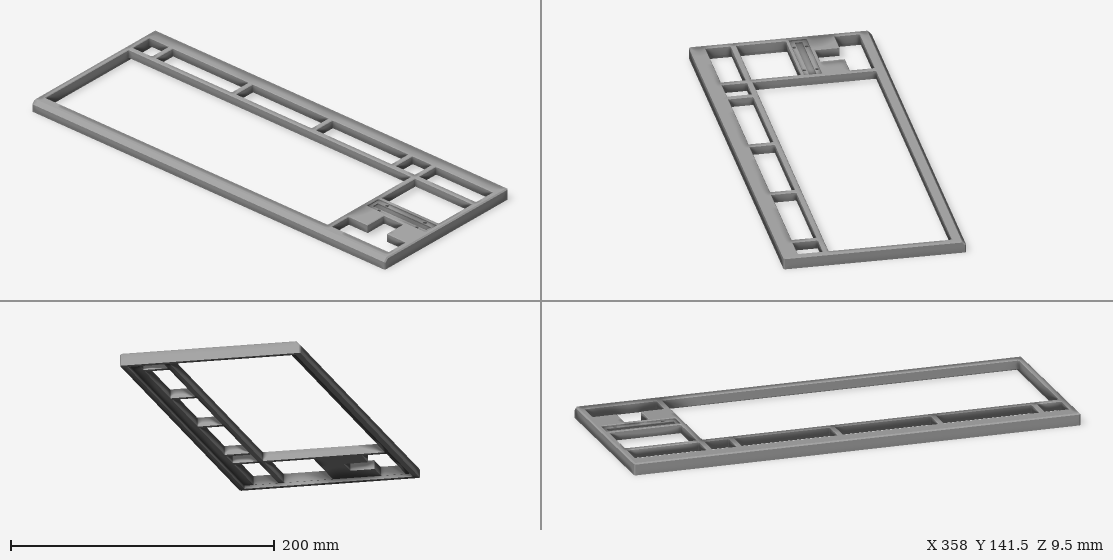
import cadquery as cq
LENGTH = 358.0
WIDTH = 141.5
HEIGHT = 9.5
OUTER_CHAMFER = 1.0
FRONT_CHAMFER = 3.2
OPENING_CHAMFER = 0.5

WALL = 4.5
RECESS_DEPTH = 2.5

KEY = 19.05
GAP = KEY / 4
CLEARANCE = 0.5
OPENING_CORNER_RADIUS = 0.7
MAIN_COLUMNS = 15
SIDE_COLUMNS = 3
MAIN_ROWS = 5
FRONT_BORDER = 10.0

TRAY_LENGTH = 59.5
TRAY_WIDTH = 13.5
TRAY_DEPTH = 1.5
TRAY_CORNER_RADIUS = 1.0
SLOT_LENGTH = 54.0
SLOT_WIDTH = 5.7
SLOT_DEPTH = 1.0
HOLE_DIAMETER = 3.0
HOLE_DEPTH = 3.0
HOLE_SPACING_X = 38.5
HOLE_SPACING_Y = 9.5

grid_length = MAIN_COLUMNS * KEY + GAP + SIDE_COLUMNS * KEY
grid_x = -grid_length / 2
grid_y = FRONT_BORDER + CLEARANCE / 2
side_x = grid_x + MAIN_COLUMNS * KEY + GAP
side_center_x = side_x + SIDE_COLUMNS * KEY / 2
function_row_y = grid_y + MAIN_ROWS * KEY + GAP
tray_y = grid_y + 2.5 * KEY
tray_floor_z = HEIGHT - TRAY_DEPTH


def box(length, width, depth, x, y, top_z):
    """Box centred on (x, y) that reaches down by depth from top_z."""
    return cq.Workplane("XY", origin=(x, y, top_z)).rect(length, width).extrude(-depth)


def key_opening(x, y, columns, rows):
    """Cutter for a block of keys whose lower left grid corner is (x, y)."""
    length = columns * KEY
    width = rows * KEY
    opening = box(length + CLEARANCE, width + CLEARANCE, HEIGHT, x + length / 2, y + width / 2, HEIGHT)
    return opening.edges("|Z").fillet(OPENING_CORNER_RADIUS)


def frame_blank():
    """Plate bevelled along its outer edges and hollowed from below by a shallow recess."""
    blank = box(LENGTH, WIDTH, HEIGHT, 0, WIDTH / 2, HEIGHT)
    blank = blank.edges(">Z and <Y").chamfer(FRONT_CHAMFER)
    blank = blank.edges("(<X or >X) except <Z").chamfer(OUTER_CHAMFER)
    blank = blank.edges(">Z and >Y").chamfer(OUTER_CHAMFER)
    recess = box(LENGTH - 2 * WALL, WIDTH - 2 * WALL, RECESS_DEPTH, 0, WIDTH / 2, RECESS_DEPTH)
    return blank.cut(recess)


def cut_key_openings(frame):
    """Function row, main block, navigation block and arrow cluster."""
    x = grid_x
    for columns in (1, 4, 4, 4, 1):
        frame = frame.cut(key_opening(x, function_row_y, columns, 1))
        x += columns * KEY + GAP
    frame = frame.cut(key_opening(side_x, function_row_y, SIDE_COLUMNS, 1))
    frame = frame.cut(key_opening(grid_x, grid_y, MAIN_COLUMNS, MAIN_ROWS))
    frame = frame.cut(key_opening(side_x, grid_y + 3 * KEY, SIDE_COLUMNS, 2))
    frame = frame.cut(key_opening(side_x, grid_y, SIDE_COLUMNS, 1))
    return frame.cut(key_opening(side_x + KEY, grid_y, 1, 2))


def cut_tray(frame):
    """Shallow tray with rounded corners."""
    tray = box(TRAY_LENGTH, TRAY_WIDTH, TRAY_DEPTH, side_center_x, tray_y, HEIGHT)
    return frame.cut(tray.edges("|Z").fillet(TRAY_CORNER_RADIUS))


def cut_tray_floor(frame):
    """Long slot and four blind holes in the floor of the tray."""
    slot = box(SLOT_LENGTH, SLOT_WIDTH, SLOT_DEPTH, side_center_x, tray_y, tray_floor_z)
    holes = (
        cq.Workplane("XY", origin=(side_center_x, tray_y, tray_floor_z))
        .rarray(HOLE_SPACING_X, HOLE_SPACING_Y, 2, 2)
        .circle(HOLE_DIAMETER / 2)
        .extrude(-HOLE_DEPTH)
    )
    return frame.cut(slot).cut(holes)


def bevel_openings(frame):
    """Small bevel around the top of every opening and the tray."""
    rims = [edge for wire in frame.faces(">Z").val().innerWires() for edge in wire.Edges()]
    return frame.newObject(rims).chamfer(OPENING_CHAMFER)


frame = cut_tray(cut_key_openings(frame_blank()))
result = cut_tray_floor(bevel_openings(frame))